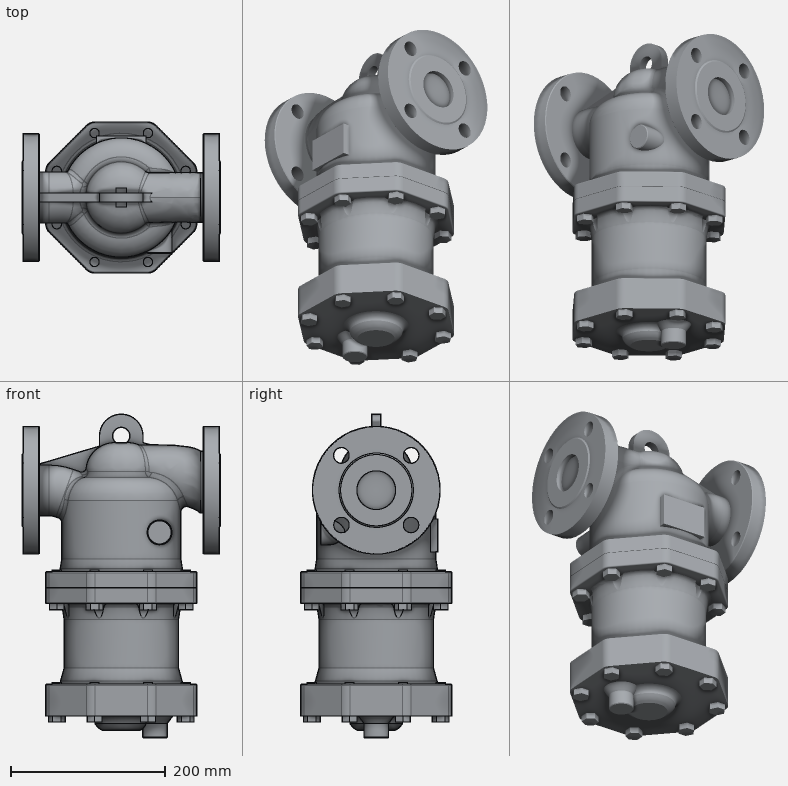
import cadquery as cq
import math


FACE_TO_FACE = 256.0
PIPE_FLANGE_DIA = 165.0
PIPE_FLANGE_THICK = 21.0
RAISED_FACE_DIA = 92.0
RAISED_FACE_BASE_DIA = 96.0
RAISED_FACE_HEIGHT = 1.5
FLANGE_HOLE_DIA = 20.0
FLANGE_HOLE_CIRCLE_DIA = 127.0
FLANGE_CHAMFER = 1.0
BORE_DIA = 50.0
BORE_DEPTH = 8.0
FLANGE_BACK_X = FACE_TO_FACE / 2 - RAISED_FACE_HEIGHT - PIPE_FLANGE_THICK

INLET_RADIUS = 33.0
INLET_STRAIGHT = 12.0
INLET_BEND_RADIUS = 60.0
INLET_BEND_ANGLE = 20.0
INLET_TAIL = 30.0
INLET_BLEND = 6.0
OUTLET_HALF_WIDTH = 32.0
OUTLET_TOP_Z = 58.0
OUTLET_MIDDLE_X = 70.0
OUTLET_MIDDLE_HALF_HEIGHT = 37.5
OUTLET_HALF_HEIGHT = 40.0
OUTLET_END_Z = 10.5
OUTLET_BLEND = 7.0
OUTLET_COLLAR = 3.5

HOUSING_RADIUS = 77.0
SHOULDER_Z = -13.4
SHOULDER_ARC = 30.4
HOUSING_FLARE_Z = -89.0
HOUSING_FOOT_RADIUS = 79.0
DOME_RADIUS = 46.0
DOME_FOOT_FILLET = 8.0
DOME_ARC = 37.3

OCTAGON_SIDES = 8
OCTAGON_WIDTH = 195.0
OCTAGON_CORNER_RADIUS = 15.0
OCTAGON_EDGE_FILLET = 1.5
OCTAGON_THICK = 41.3
UPPER_OCTAGON_TOP = -105.2
LOWER_OCTAGON_TOP = -250.2
UPPER_OCTAGON_BOTTOM = UPPER_OCTAGON_TOP - OCTAGON_THICK
LOWER_OCTAGON_BOTTOM = LOWER_OCTAGON_TOP - OCTAGON_THICK
JOINT_GAP = 0.8
JOINT_DEPTH = 0.8
BOLT_COUNT = 8
BOLT_CIRCLE_RADIUS = 90.0
BOLT_END_DIA = 12.0
BOLT_END_HEIGHT = 2.0
BOLT_HEAD_FLATS = 19.0
BOLT_HEAD_HEIGHT = 7.9
SPOT_FACE_RADIUS = 15.7

BARREL_RADIUS = 74.0
BARREL_NECK_RADIUS = 76.5
BARREL_FOOT_RADIUS = 78.5
BARREL_TOP_Z = -166.7
BARREL_BOTTOM_Z = -229.5
NECK_FILLET = 4.0
NECK_FILLET_ARC = 5.0

LUG_Z = 70.0
LUG_RADIUS = 28.2
LUG_HOLE_DIA = 22.0
LUG_THICK = 12.0
OVERALL_HEIGHT = 417.91
LUG_TOP_Z = LUG_Z + LUG_RADIUS
BOTTOM_Z = LUG_TOP_Z - OVERALL_HEIGHT
RIB_LOW_Z = 34.0
RIB_HIGH_Z = 57.0
LUG_FOOT_X = 40.5
LUG_FOOT_Z = 61.5

PLUG_DIA = 32.0
PLUG_FACE_DIA = 30.0
PLUG_X = 49.4
PLUG_Z = -54.4
PLUG_FACE_Y = -72.0
PAD_WIDTH = 64.0
PAD_HEIGHT = 42.5
PAD_Z = -58.3
PAD_FACE_Y = 79.5

SUMP_ROOT_RADIUS = 42.0
SUMP_RADIUS = 34.0
SUMP_ROOT_ARC = 10.0
SUMP_FLOOR_ARC = 20.0
SUMP_FLOOR_RADIUS = 24.0
SUMP_SIDE_Z = -301.0
SUMP_FLOOR_Z = -310.0
DRAIN_DIA = 32.0
DRAIN_X = 43.5
DRAIN_ROOT_RADIUS = 23.0
DRAIN_CHAMFER = 1.0


def make_body():
    """Housing, barrel and their flared necks as one revolved profile."""
    dome_corner = DOME_ARC * math.sqrt(0.5)
    shoulder_r = HOUSING_RADIUS - SHOULDER_ARC
    fillet_r = DOME_RADIUS + DOME_FOOT_FILLET
    center_distance = SHOULDER_ARC + DOME_FOOT_FILLET
    slope_cos = (fillet_r - shoulder_r) / center_distance
    slope_sin = math.sqrt(1 - slope_cos ** 2)
    dome_side_z = SHOULDER_Z + center_distance * slope_sin
    fillet_foot = (shoulder_r + SHOULDER_ARC * slope_cos, SHOULDER_Z + SHOULDER_ARC * slope_sin)
    shoulder_middle = math.acos(slope_cos) / 2
    dome_flat = DOME_RADIUS - DOME_ARC
    dome_top = dome_side_z + DOME_ARC
    profile = (
        cq.Workplane("XZ")
        .moveTo(0, LOWER_OCTAGON_BOTTOM)
        .lineTo(BARREL_RADIUS, LOWER_OCTAGON_BOTTOM)
        .lineTo(BARREL_FOOT_RADIUS + NECK_FILLET, LOWER_OCTAGON_TOP)
        .radiusArc((BARREL_FOOT_RADIUS, LOWER_OCTAGON_TOP + NECK_FILLET), NECK_FILLET_ARC)
        .lineTo(BARREL_RADIUS, BARREL_BOTTOM_Z)
        .lineTo(BARREL_RADIUS, BARREL_TOP_Z)
        .lineTo(BARREL_NECK_RADIUS, UPPER_OCTAGON_BOTTOM - NECK_FILLET)
        .radiusArc((BARREL_NECK_RADIUS + NECK_FILLET, UPPER_OCTAGON_BOTTOM), NECK_FILLET_ARC)
        .lineTo(HOUSING_FOOT_RADIUS + NECK_FILLET, UPPER_OCTAGON_TOP)
        .radiusArc((HOUSING_FOOT_RADIUS, UPPER_OCTAGON_TOP + NECK_FILLET), NECK_FILLET)
        .lineTo(HOUSING_RADIUS, HOUSING_FLARE_Z)
        .lineTo(HOUSING_RADIUS, SHOULDER_Z)
        .threePointArc(
            (
                shoulder_r + SHOULDER_ARC * math.cos(shoulder_middle),
                SHOULDER_Z + SHOULDER_ARC * math.sin(shoulder_middle),
            ),
            fillet_foot,
        )
        .radiusArc((DOME_RADIUS, dome_side_z), DOME_FOOT_FILLET)
        .threePointArc(
            (dome_flat + dome_corner, dome_side_z + dome_corner),
            (dome_flat, dome_top),
        )
        .lineTo(0, dome_top)
        .close()
    )
    return profile.revolve(360, (0, 0, 0), (0, 1, 0))


def octagon_prism(top_z, width):
    """Octagon with rounded corners, two sides square to X."""
    half_side_angle = 180.0 / OCTAGON_SIDES
    circumscribed_dia = width / math.cos(math.radians(half_side_angle))
    return (
        cq.Workplane("XY", origin=(0, 0, top_z - OCTAGON_THICK))
        .polygon(OCTAGON_SIDES, circumscribed_dia)
        .extrude(OCTAGON_THICK)
        .rotate((0, 0, 0), (0, 0, 1), half_side_angle)
        .edges("|Z").fillet(OCTAGON_CORNER_RADIUS)
    )


def make_octagon(top_z, rounded_faces):
    """Octagonal flange pair with rounded edges on the chosen faces."""
    return (
        octagon_prism(top_z, OCTAGON_WIDTH)
        .faces(rounded_faces).edges().fillet(OCTAGON_EDGE_FILLET)
    )


def cut_joint(part, top_z):
    """Shallow groove around the octagon where its two halves meet."""
    groove = (
        cq.Workplane("XY", origin=(0, 0, top_z - (OCTAGON_THICK + JOINT_GAP) / 2))
        .circle(OCTAGON_WIDTH)
        .extrude(JOINT_GAP)
    )
    core = octagon_prism(top_z, OCTAGON_WIDTH - 2 * JOINT_DEPTH)
    return part.cut(groove.cut(core))


def bolt_positions():
    """X and Y of each bolt on the bolt circle."""
    step = 360.0 / BOLT_COUNT
    for index in range(BOLT_COUNT):
        angle = step * (index + 0.5)
        x = BOLT_CIRCLE_RADIUS * math.cos(math.radians(angle))
        y = BOLT_CIRCLE_RADIUS * math.sin(math.radians(angle))
        yield x, y


def cut_spot_faces(part):
    """Clear the upper barrel neck around each bolt head."""
    for x, y in bolt_positions():
        clearance = (
            cq.Workplane("XY", origin=(x, y, BARREL_TOP_Z))
            .circle(SPOT_FACE_RADIUS)
            .extrude(UPPER_OCTAGON_BOTTOM - BARREL_TOP_Z)
        )
        part = part.cut(clearance)
    return part


def add_bolts(part, top_z, corners_outward):
    """Bolt ends above an octagon and hexagon heads below it.

    Each head points a corner, or else a flat, along the axis nearest its bolt.
    """
    half_flat_angle = 30
    bottom_z = top_z - OCTAGON_THICK
    for x, y in bolt_positions():
        near_x_axis = abs(x) > abs(y)
        turn = 0 if near_x_axis == corners_outward else half_flat_angle
        bolt_end = (
            cq.Workplane("XY", origin=(x, y, top_z - BOLT_END_HEIGHT))
            .circle(BOLT_END_DIA / 2)
            .extrude(2 * BOLT_END_HEIGHT)
        )
        head = (
            cq.Workplane("XY", origin=(x, y, bottom_z - BOLT_HEAD_HEIGHT))
            .polygon(6, BOLT_HEAD_FLATS / math.cos(math.radians(half_flat_angle)))
            .extrude(BOLT_HEAD_HEIGHT)
            .rotate((x, y, 0), (x, y, 1), turn)
        )
        part = part.union(bolt_end).union(head)
    return part


def make_pipe_flange():
    """Inlet side pipe flange with its raised face toward -X."""
    face_x = -FACE_TO_FACE / 2
    flange = (
        cq.Workplane("YZ", origin=(-FLANGE_BACK_X, 0, 0))
        .circle(PIPE_FLANGE_DIA / 2)
        .extrude(-PIPE_FLANGE_THICK)
        .faces(">X").edges().chamfer(FLANGE_CHAMFER)
    )
    raised_face = (
        cq.Workplane("YZ", origin=(face_x, 0, 0))
        .circle(RAISED_FACE_DIA / 2)
        .workplane(offset=RAISED_FACE_HEIGHT)
        .circle(RAISED_FACE_BASE_DIA / 2)
        .loft(ruled=True)
    )
    hole_side = FLANGE_HOLE_CIRCLE_DIA * math.sqrt(0.5)
    holes = (
        cq.Workplane("YZ", origin=(face_x, 0, 0))
        .rect(hole_side, hole_side, forConstruction=True)
        .vertices()
        .circle(FLANGE_HOLE_DIA / 2)
        .extrude(FACE_TO_FACE / 2 - FLANGE_BACK_X)
    )
    bore = cq.Workplane("YZ", origin=(face_x, 0, 0)).circle(BORE_DIA / 2).extrude(BORE_DEPTH)
    return flange.union(raised_face).cut(holes).cut(bore)


def make_inlet():
    """Inlet pipe that bends down into the housing."""
    bend = math.radians(INLET_BEND_ANGLE)
    bend_x = INLET_STRAIGHT - FLANGE_BACK_X

    def on_bend(angle):
        x = bend_x + INLET_BEND_RADIUS * math.sin(angle)
        z = INLET_BEND_RADIUS * (math.cos(angle) - 1)
        return x, z

    end_x, end_z = on_bend(bend)
    tail_end = (end_x + INLET_TAIL * math.cos(bend), end_z - INLET_TAIL * math.sin(bend))
    path = (
        cq.Workplane("XZ")
        .moveTo(-FLANGE_BACK_X, 0)
        .lineTo(bend_x, 0)
        .threePointArc(on_bend(bend / 2), (end_x, end_z))
        .lineTo(*tail_end)
    )
    return cq.Workplane("YZ", origin=(-FLANGE_BACK_X, 0, 0)).circle(INLET_RADIUS).sweep(path)


def make_outlet():
    """Outlet pipe that leaves the dome level and droops to its flange."""
    start_z = OUTLET_TOP_Z - OUTLET_HALF_WIDTH
    collar_x = FLANGE_BACK_X - OUTLET_COLLAR
    droop = (
        cq.Workplane("YZ", origin=(0, 0, start_z))
        .ellipse(OUTLET_HALF_WIDTH, OUTLET_HALF_WIDTH)
        .workplane(offset=OUTLET_MIDDLE_X)
        .center(0, OUTLET_TOP_Z - OUTLET_MIDDLE_HALF_HEIGHT - start_z)
        .ellipse(OUTLET_HALF_WIDTH, OUTLET_MIDDLE_HALF_HEIGHT)
        .workplane(offset=collar_x - OUTLET_MIDDLE_X)
        .center(0, OUTLET_END_Z - OUTLET_TOP_Z + OUTLET_MIDDLE_HALF_HEIGHT)
        .ellipse(OUTLET_HALF_WIDTH, OUTLET_HALF_HEIGHT)
        .loft()
    )
    collar = (
        cq.Workplane("YZ", origin=(collar_x, 0, OUTLET_END_Z))
        .ellipse(OUTLET_HALF_WIDTH, OUTLET_HALF_HEIGHT)
        .extrude(OUTLET_COLLAR)
    )
    return droop.union(collar)


def lies_on_surface(edge, solid):
    """True when the edge runs along the boundary of the solid."""
    tolerance = 0.001
    for fraction in (0.3, 0.6):
        point = cq.Vertex.makeVertex(*edge.positionAt(fraction).toTuple())
        if min(face.distance(point) for face in solid.faces().vals()) > tolerance:
            return False
    return True


def blend(part, branch, radius):
    """Join a branch to the part and fillet the seam between them."""
    joined = part.union(branch)
    seam = [
        edge for edge in joined.edges().vals()
        if lies_on_surface(edge, part) and lies_on_surface(edge, branch)
    ]
    return joined.newObject(seam).fillet(radius)


def make_lug():
    """Lifting eye on the dome with a rib running to the inlet flange."""
    return (
        cq.Workplane("XZ")
        .moveTo(-FLANGE_BACK_X, 0)
        .lineTo(-FLANGE_BACK_X, RIB_LOW_Z)
        .lineTo(-LUG_RADIUS, RIB_HIGH_Z)
        .lineTo(-LUG_RADIUS, LUG_Z)
        .threePointArc((0, LUG_TOP_Z), (LUG_RADIUS, LUG_Z))
        .lineTo(LUG_RADIUS, LUG_FOOT_Z)
        .lineTo(LUG_FOOT_X, OUTLET_TOP_Z)
        .lineTo(LUG_FOOT_X, 0)
        .close()
        .extrude(LUG_THICK / 2, both=True)
    )


def cut_lug_hole(part):
    """Hole through the lifting eye."""
    hole = (
        cq.Workplane("XZ")
        .center(0, LUG_Z)
        .circle(LUG_HOLE_DIA / 2)
        .extrude(LUG_THICK, both=True)
    )
    return part.cut(hole)


def make_plug():
    """Side plug facing -Y."""
    return (
        cq.Workplane("XZ", origin=(PLUG_X, PLUG_FACE_Y, PLUG_Z))
        .circle(PLUG_DIA / 2)
        .extrude(PLUG_FACE_Y)
        .faces("<Y").edges().chamfer((PLUG_DIA - PLUG_FACE_DIA) / 2)
    )


def make_pad():
    """Flat name plate pad on the +Y side of the housing."""
    depth = PAD_FACE_Y - HOUSING_RADIUS / 2
    return cq.Workplane("XY").box(PAD_WIDTH, depth, PAD_HEIGHT).translate(
        (0, PAD_FACE_Y - depth / 2, PAD_Z)
    )


def make_sump():
    """Rounded sump under the lower octagon with an offset drain stub."""
    sump = (
        cq.Workplane("XZ")
        .moveTo(0, LOWER_OCTAGON_BOTTOM)
        .lineTo(SUMP_ROOT_RADIUS, LOWER_OCTAGON_BOTTOM)
        .radiusArc((SUMP_RADIUS, SUMP_SIDE_Z), -SUMP_ROOT_ARC)
        .radiusArc((SUMP_FLOOR_RADIUS, SUMP_FLOOR_Z), SUMP_FLOOR_ARC)
        .lineTo(0, SUMP_FLOOR_Z)
        .close()
        .revolve(360, (0, 0, 0), (0, 1, 0))
    )
    drain_radius = DRAIN_DIA / 2
    drain = (
        cq.Workplane("XZ", origin=(DRAIN_X, 0, 0))
        .moveTo(0, LOWER_OCTAGON_BOTTOM)
        .lineTo(DRAIN_ROOT_RADIUS, LOWER_OCTAGON_BOTTOM)
        .lineTo(drain_radius, SUMP_SIDE_Z)
        .lineTo(drain_radius, BOTTOM_Z + DRAIN_CHAMFER)
        .lineTo(drain_radius - DRAIN_CHAMFER, BOTTOM_Z)
        .lineTo(0, BOTTOM_Z)
        .close()
        .revolve(360, (0, 0, 0), (0, 1, 0))
    )
    return sump.union(drain)


inlet_flange = make_pipe_flange()
outlet_flange = inlet_flange.mirror("YZ")

casting = blend(make_body(), make_outlet(), OUTLET_BLEND)
casting = blend(casting, make_inlet(), INLET_BLEND)
result = cut_spot_faces(casting)
result = result.union(make_octagon(UPPER_OCTAGON_TOP, "<Z or >Z"))
result = result.union(make_octagon(LOWER_OCTAGON_TOP, ">Z"))
result = cut_joint(result, UPPER_OCTAGON_TOP)
result = add_bolts(result, UPPER_OCTAGON_TOP, False)
result = add_bolts(result, LOWER_OCTAGON_TOP, True)
result = result.union(make_plug()).union(make_pad()).union(make_sump())
result = result.union(inlet_flange).union(outlet_flange).union(make_lug())
result = cut_lug_hole(result)